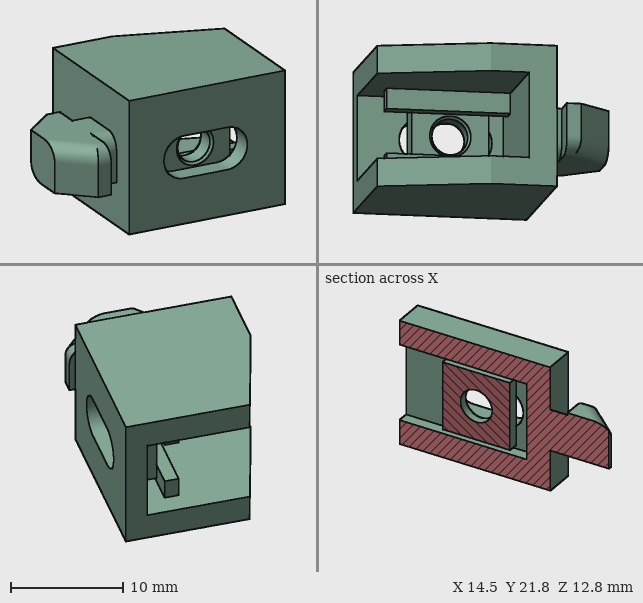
import cadquery as cq


block_width = 14.5
block_depth = 15.7
block_height = 12.8
bevel_width = 3.0
bevel_start = 6.0

front_wall = 2.5
jaw_gap = 7.75

outer_wall = 2.0
pocket_thickness = 2.2
lip_thickness = 1.3
lip_gap = 4.05
lip_setback = 2.0
pocket_floor = block_width - outer_wall
lip_back = pocket_floor - pocket_thickness
lip_front = lip_back - lip_thickness

screw_slot_length = 8.4
screw_slot_width = lip_gap
screw_center = 7.7

head_width = 9.8
head_height = 4.5
head_center = block_width - head_width / 2
head_straight = 1.3
head_taper = 3.0
tip_width = 4.5
stem_width = 5.0
stem_length = 1.8
head_round = 1.5

nut_side = 7.0
nut_thickness = pocket_thickness
nut_bore = 3.24
nut_bore_chamfer = 0.24


def box(x_range, y_range, height):
    """Box over the given X and Y ranges, centred on Z = 0."""
    return (
        cq.Workplane("XY")
        .box(x_range[1] - x_range[0], y_range[1] - y_range[0], height, centered=(False, False, True))
        .translate((x_range[0], y_range[0], 0))
    )


def make_block():
    """Block with its sloped left side, jaw opening, nut track and screw slot."""
    block = (
        cq.Workplane("XY")
        .moveTo(0, 0)
        .lineTo(block_width, 0)
        .lineTo(block_width, block_depth)
        .lineTo(bevel_width, block_depth)
        .lineTo(0, bevel_start)
        .close()
        .extrude(block_height / 2, both=True)
    )
    opening = box((0, pocket_floor), (front_wall, block_depth), jaw_gap)
    lips = box((lip_front, lip_back), (front_wall, block_depth - lip_setback), jaw_gap)
    lip_channel = box((lip_front, lip_back), (front_wall, block_depth), lip_gap)
    screw_slot = (
        cq.Workplane("YZ", origin=(pocket_floor, screw_center, 0))
        .slot2D(screw_slot_length, screw_slot_width)
        .extrude(outer_wall)
    )
    return block.cut(opening.cut(lips.cut(lip_channel))).cut(screw_slot)


def make_hammer_head():
    """Stem and tapered head, rounded along the upper right and lower left edges."""
    head_back = -stem_length
    taper_start = head_back - head_straight
    tip = taper_start - head_taper
    half_head = head_width / 2
    half_tip = tip_width / 2
    head = (
        cq.Workplane("XY")
        .moveTo(-half_head, head_back)
        .lineTo(-half_head, taper_start)
        .lineTo(-half_tip, tip)
        .lineTo(half_tip, tip)
        .lineTo(half_head, taper_start)
        .lineTo(half_head, head_back)
        .close()
        .extrude(head_height / 2, both=True)
    )
    stem = box((-stem_width / 2, stem_width / 2), (head_back, 0), head_height)

    for side, level in ((1, ">Z"), (-1, "<Z")):
        side_region = cq.selectors.BoxSelector((0, tip, -head_height), (side * head_width, 0, head_height))
        head = head.faces(level).edges("not |X").edges(side_region).fillet(head_round)
        stem = stem.faces(level).edges("|Y").edges(side_region).fillet(head_round)
    return head.union(stem).translate((head_center, 0, 0))


def make_nut():
    """Square nut with a countersunk bore, lying in the pocket."""
    return (
        cq.Workplane("YZ", origin=(lip_back, screw_center, 0))
        .rect(nut_side, nut_side)
        .circle(nut_bore / 2)
        .extrude(nut_thickness)
        .faces("<X or >X")
        .edges("%CIRCLE")
        .chamfer(nut_bore_chamfer)
    )


holder = make_block().union(make_hammer_head())
nut = make_nut()
result = cq.Compound.makeCompound([holder.val(), nut.val()])